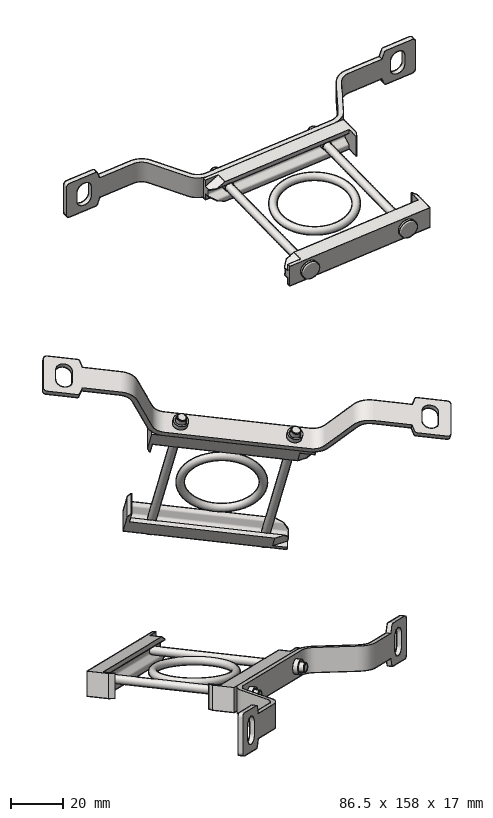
import cadquery as cq
import math


RAIL_OUTER_X = 30.5
RAIL_DEPTH = 6.2
RAIL_HEIGHT = 10.0
RAIL_START_Y = -30.8
RAIL_END_Y = 32.7
RAIL_INNER_X = RAIL_OUTER_X - RAIL_DEPTH
GROOVE_DEPTH = 3.0
GROOVE_MOUTH = 5.7
GROOVE_SLOPE = 30
GROOVE_FILLET = 1.0
TAB_REACH = 4.9
TAB_THICKNESS = 1.5
TAB_BEVEL_LENGTH = 2.0
TAB_BEVEL_DEPTH = 1.1
TAPER_LENGTH = 5.8
TAPER_END_HEIGHT = 3.8
TAPER_WEB = 1.5
END_CHAMFER = 2.4

ROD_DIAMETER = 3.5
THREAD_DIAMETER = 4.0
THREAD_END_X = -25.8
ROD_SPACING = 44.2
ROD_TIP_X = -36.8
ROD_TIP_CHAMFER = 0.3
COLLAR_DIAMETER = 7.6
COLLAR_THICKNESS = 1.0
HEAD_DIAMETER = 7.7
HEAD_THICKNESS = 1.0
HEAD_FILLET = 0.3
NUT_DIAMETER = 6.0
NUT_THICKNESS = 2.0

STRAP_LENGTH = 158.0
STRAP_THICKNESS = 2.0
STRAP_HEIGHT = 10.0
STRAP_BORE = 4.6
STRAP_OFFSET = 21.5
BEND_ANGLE = 60
MIDDLE_HALF_LENGTH = 28.3
INNER_BEND_RADIUS = 6.0
OUTER_BEND_RADIUS = 8.0
PAD_HEIGHT = 17.0
PAD_LENGTH = 13.9
PAD_CORNER_RADIUS = 1.6
PAD_INNER_RADIUS = 1.0
NECK_FLARE = 1.3
SLOT_WIDTH = 6.5
SLOT_LENGTH = 11.0
SLOT_END_DISTANCE = 8.0

RING_DIAMETER = 35.0
RING_SECTION = 3.3

ROD_POSITIONS = [(-ROD_SPACING / 2, 0), (ROD_SPACING / 2, 0)]
STRAP_BACK_X = -RAIL_OUTER_X
STRAP_FRONT_X = STRAP_BACK_X - STRAP_THICKNESS


def rod_cylinders(diameter, start_x, end_x):
    """Two cylinders along X, one on each rod axis."""
    return (
        cq.Workplane("YZ", origin=(start_x, 0, 0))
        .pushPoints(ROD_POSITIONS)
        .circle(diameter / 2)
        .extrude(end_x - start_x)
    )


def make_rail():
    """Grooved rail on the +X side, with a hooked tab at +Y and a tapered end at -Y."""
    rail_length = RAIL_END_Y - RAIL_START_Y
    tab_inner_y = RAIL_END_Y - TAB_THICKNESS
    rail = cq.Workplane("XY").box(RAIL_DEPTH, rail_length, RAIL_HEIGHT, centered=False)
    rail = rail.translate((RAIL_INNER_X, RAIL_START_Y, -RAIL_HEIGHT / 2))

    mouth = GROOVE_MOUTH / 2
    floor = mouth - GROOVE_DEPTH * math.tan(math.radians(GROOVE_SLOPE))
    floor_x = RAIL_INNER_X + GROOVE_DEPTH
    groove = (
        cq.Workplane("XZ", origin=(0, tab_inner_y, 0))
        .polyline([
            (RAIL_INNER_X, -RAIL_HEIGHT),
            (RAIL_INNER_X, -mouth),
            (floor_x, -floor),
            (floor_x, floor),
            (RAIL_INNER_X, mouth),
            (RAIL_INNER_X, RAIL_HEIGHT),
            (RAIL_INNER_X - RAIL_DEPTH, RAIL_HEIGHT),
            (RAIL_INNER_X - RAIL_DEPTH, -RAIL_HEIGHT),
        ])
        .close()
        .extrude(tab_inner_y - RAIL_START_Y)
        .edges("|Y and (not <X)")
        .fillet(GROOVE_FILLET)
    )
    rail = rail.cut(groove)

    for side in (1, -1):
        taper = (
            cq.Workplane("YZ", origin=(RAIL_INNER_X, 0, 0))
            .polyline([
                (RAIL_START_Y, side * TAPER_END_HEIGHT / 2),
                (RAIL_START_Y + TAPER_LENGTH, side * RAIL_HEIGHT / 2),
                (RAIL_START_Y, side * RAIL_HEIGHT / 2),
            ])
            .close()
            .extrude(RAIL_DEPTH - TAPER_WEB)
        )
        rail = rail.cut(taper)

    end_chamfer = (
        cq.Workplane("XY")
        .polyline([
            (RAIL_INNER_X, RAIL_START_Y),
            (RAIL_INNER_X + END_CHAMFER, RAIL_START_Y),
            (RAIL_INNER_X, RAIL_START_Y + END_CHAMFER),
        ])
        .close()
        .extrude(RAIL_HEIGHT / 2, both=True)
    )
    tab_tip_x = RAIL_INNER_X - TAB_REACH
    tab = (
        cq.Workplane("XY")
        .polyline([
            (RAIL_INNER_X, tab_inner_y),
            (tab_tip_x, tab_inner_y),
            (tab_tip_x, RAIL_END_Y - TAB_BEVEL_DEPTH),
            (tab_tip_x + TAB_BEVEL_LENGTH, RAIL_END_Y),
            (RAIL_INNER_X, RAIL_END_Y),
        ])
        .close()
        .extrude(RAIL_HEIGHT / 2, both=True)
    )
    return rail.cut(end_chamfer).union(tab)


def make_plain_rail():
    """Rail on the -X side, bored for the tie rods."""
    bores = rod_cylinders(THREAD_DIAMETER, -RAIL_OUTER_X, -RAIL_INNER_X)
    return make_rail().mirror("YZ").cut(bores)


def make_rod_rail():
    """Rail on the +X side together with the two headed tie rods fixed in it."""
    rods = rod_cylinders(ROD_DIAMETER, THREAD_END_X, RAIL_OUTER_X)
    threads = rod_cylinders(THREAD_DIAMETER, ROD_TIP_X, THREAD_END_X)
    threads = threads.faces("<X").chamfer(ROD_TIP_CHAMFER)
    head_base_x = RAIL_OUTER_X + COLLAR_THICKNESS
    collars = rod_cylinders(COLLAR_DIAMETER, RAIL_OUTER_X, head_base_x)
    heads = rod_cylinders(HEAD_DIAMETER, head_base_x, head_base_x + HEAD_THICKNESS)
    heads = heads.faces(">X").edges().fillet(HEAD_FILLET)
    return make_rail().union(rods).union(threads).union(collars).union(heads)


def make_strap_half():
    """The +Y half of the strap: half the middle length, two bends, and a slotted pad."""
    angle = math.radians(BEND_ANGLE)
    half_angle = angle / 2
    pad_front_x = STRAP_FRONT_X - STRAP_OFFSET
    pad_back_x = pad_front_x + STRAP_THICKNESS
    end_y = STRAP_LENGTH / 2

    bend_step = (INNER_BEND_RADIUS + OUTER_BEND_RADIUS) * (1 - math.cos(angle))
    slope_run = (STRAP_OFFSET - bend_step) / math.tan(angle)
    bend_run = (INNER_BEND_RADIUS + OUTER_BEND_RADIUS) * math.sin(angle)
    pad_straight_y = MIDDLE_HALF_LENGTH + slope_run + bend_run
    inner_centre_x = STRAP_FRONT_X - INNER_BEND_RADIUS
    outer_centre_x = pad_front_x + OUTER_BEND_RADIUS

    def inner_bend(radius, turn):
        return (
            inner_centre_x + radius * math.cos(turn),
            MIDDLE_HALF_LENGTH + radius * math.sin(turn),
        )

    def outer_bend(radius, turn):
        return (
            outer_centre_x - radius * math.cos(turn),
            pad_straight_y - radius * math.sin(turn),
        )

    back_inner_radius = INNER_BEND_RADIUS + STRAP_THICKNESS
    back_outer_radius = OUTER_BEND_RADIUS - STRAP_THICKNESS
    bent_strip = (
        cq.Workplane("XY")
        .moveTo(STRAP_FRONT_X, 0)
        .lineTo(STRAP_FRONT_X, MIDDLE_HALF_LENGTH)
        .threePointArc(inner_bend(INNER_BEND_RADIUS, half_angle), inner_bend(INNER_BEND_RADIUS, angle))
        .lineTo(*outer_bend(OUTER_BEND_RADIUS, angle))
        .threePointArc(outer_bend(OUTER_BEND_RADIUS, half_angle), outer_bend(OUTER_BEND_RADIUS, 0))
        .lineTo(pad_front_x, end_y)
        .lineTo(pad_back_x, end_y)
        .lineTo(*outer_bend(back_outer_radius, 0))
        .threePointArc(outer_bend(back_outer_radius, half_angle), outer_bend(back_outer_radius, angle))
        .lineTo(*inner_bend(back_inner_radius, angle))
        .threePointArc(inner_bend(back_inner_radius, half_angle), inner_bend(back_inner_radius, 0))
        .lineTo(STRAP_BACK_X, 0)
        .close()
        .extrude(PAD_HEIGHT / 2, both=True)
    )

    pad_start_y = end_y - PAD_LENGTH
    outline = (
        cq.Workplane("YZ", origin=(pad_front_x, 0, 0))
        .polyline([
            (0, -STRAP_HEIGHT / 2),
            (pad_start_y - NECK_FLARE, -STRAP_HEIGHT / 2),
            (pad_start_y, -PAD_HEIGHT / 2),
            (end_y, -PAD_HEIGHT / 2),
            (end_y, PAD_HEIGHT / 2),
            (pad_start_y, PAD_HEIGHT / 2),
            (pad_start_y - NECK_FLARE, STRAP_HEIGHT / 2),
            (0, STRAP_HEIGHT / 2),
        ])
        .close()
        .extrude(STRAP_OFFSET + STRAP_THICKNESS)
    )
    outline = outline.edges("|X and >Y").fillet(PAD_CORNER_RADIUS)
    inner_corners = cq.selectors.BoxSelector(
        (pad_front_x, pad_start_y - NECK_FLARE / 2, -PAD_HEIGHT),
        (STRAP_BACK_X, pad_start_y + NECK_FLARE / 2, PAD_HEIGHT),
    )
    outline = outline.edges(inner_corners).edges("|X").fillet(PAD_INNER_RADIUS)
    slot = (
        cq.Workplane("YZ", origin=(pad_front_x, 0, 0))
        .center(end_y - SLOT_END_DISTANCE, 0)
        .slot2D(SLOT_LENGTH, SLOT_WIDTH, 90)
        .extrude(STRAP_THICKNESS)
    )
    return bent_strip.intersect(outline).cut(slot)


def make_strap():
    """Cranked strap with a nut collar fixed on its front face at each rod."""
    half = make_strap_half()
    nuts = rod_cylinders(NUT_DIAMETER, STRAP_FRONT_X - NUT_THICKNESS, STRAP_FRONT_X)
    bores = rod_cylinders(STRAP_BORE, STRAP_FRONT_X - NUT_THICKNESS, STRAP_BACK_X)
    return half.union(half.mirror("XZ")).union(nuts).cut(bores)


def make_ring():
    section_radius = RING_SECTION / 2
    return cq.Workplane(cq.Solid.makeTorus(RING_DIAMETER / 2 - section_radius, section_radius))


strap = make_strap()
plain_rail = make_plain_rail()
rod_rail = make_rod_rail()
ring = make_ring()

result = cq.Compound.makeCompound([strap.val(), plain_rail.val(), rod_rail.val(), ring.val()])